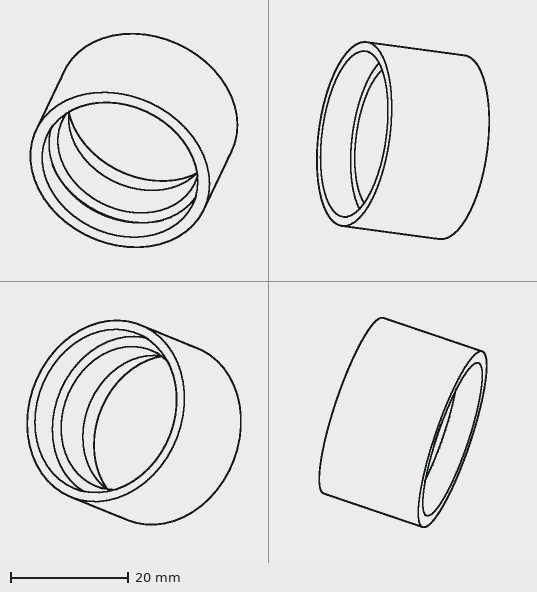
import cadquery as cq

outer_diameter = 31.7
length = 18.2
bore_diameter = 25.0
front_face = -length / 2
back_face = length / 2

seat_diameter = 27.5
seat_depth = 5.6
groove_diameter = 29.0
groove_width = 1.2

counterbore_diameter = 28.53
counterbore_depth = 5.6


def disc(diameter, start, thickness):
    """Solid cylinder along +Y that begins at the given Y position."""
    return cq.Workplane("XZ", origin=(0, start, 0)).circle(diameter / 2).extrude(-thickness)


ring = disc(outer_diameter, front_face, length)
bore = disc(bore_diameter, front_face, length)
seat = disc(seat_diameter, front_face, seat_depth)
groove = disc(groove_diameter, front_face + seat_depth - groove_width, groove_width)
counterbore = disc(counterbore_diameter, back_face - counterbore_depth, counterbore_depth)

result = ring.cut(bore).cut(seat).cut(groove).cut(counterbore)